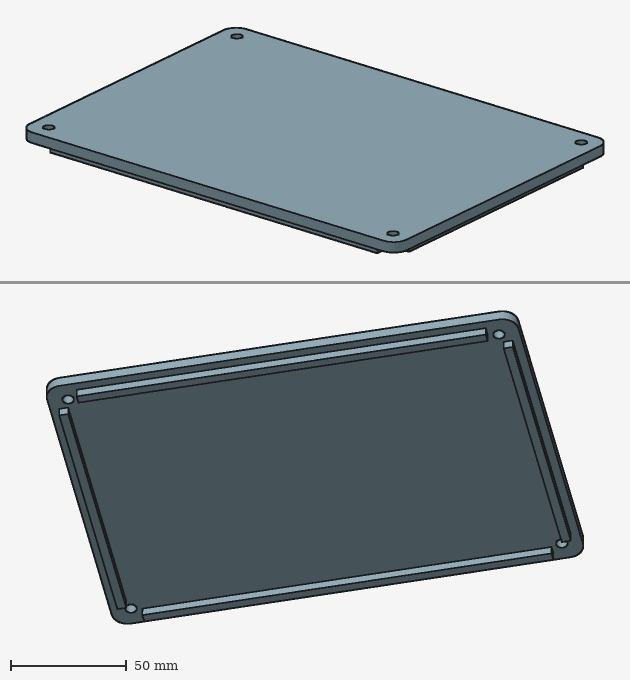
import cadquery as cq

length = 208.0
width = 148.0
total_height = 9.0
plate_thickness = 5.0
corner_radius = 7.0

hole_diameter = 5.0
hole_inset = 9.0

rail_height = total_height - plate_thickness
rail_width = 4.0
rail_inset = 4.0
rail_end_inset = 13.7


def make_plate():
    """Rounded plate with its underside at Z = 0 and a through hole in each corner."""
    plate = cq.Workplane("XY").box(length, width, plate_thickness, centered=(True, True, False))
    plate = plate.edges("|Z").fillet(corner_radius)
    hole_spacing_x = length - 2 * hole_inset
    hole_spacing_y = width - 2 * hole_inset
    return (
        plate.faces(">Z").workplane()
        .rect(hole_spacing_x, hole_spacing_y, forConstruction=True)
        .vertices()
        .hole(hole_diameter)
    )


def make_rail(center_x, center_y, size_x, size_y):
    """Rectangular rail hanging down from the underside of the plate."""
    return (
        cq.Workplane("XY")
        .center(center_x, center_y)
        .rect(size_x, size_y)
        .extrude(-rail_height)
    )


rail_offset_x = length / 2 - rail_inset - rail_width / 2
rail_offset_y = width / 2 - rail_inset - rail_width / 2
long_rail_length = length - 2 * rail_end_inset
short_rail_length = width - 2 * rail_end_inset

result = make_plate()
for side in (-1, 1):
    result = result.union(make_rail(0, side * rail_offset_y, long_rail_length, rail_width))
    result = result.union(make_rail(side * rail_offset_x, 0, rail_width, short_rail_length))